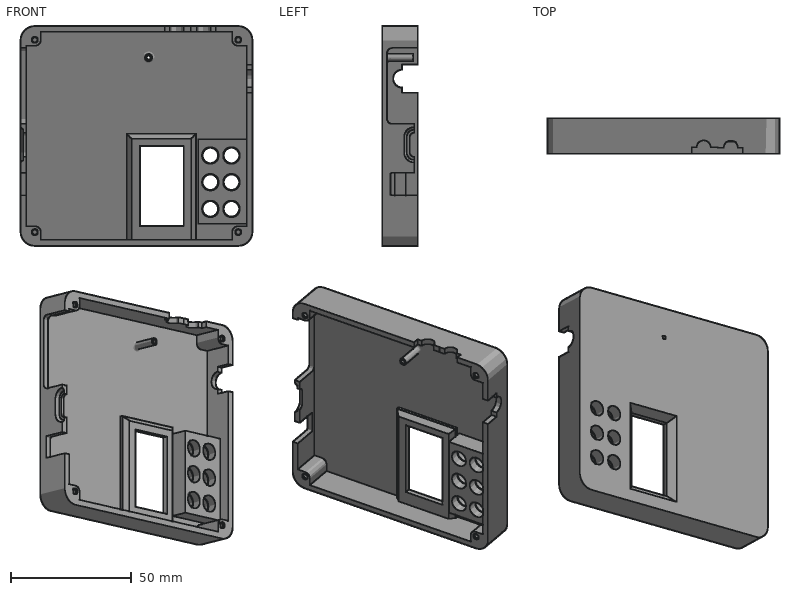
import cadquery as cq
import math


WIDTH = 96.0
DEPTH = 14.8
HEIGHT = 91.0
CORNER_RADIUS = 6.0
WALL = 2.5
FLOOR = 2.0
FLOOR_Y = DEPTH - FLOOR

BOSS_WIDTH = 8.4
BOSS_HEIGHT = 8.2
BOSS_RADIUS = 2.4
SCREW_X = 6.0
SCREW_Z = 5.8
SCREW_DIAMETER = 2.1
SCREW_DEPTH = 9.6
SCREW_MOUTH_DIAMETER = 2.6
SCREW_MOUTH_DEPTH = 0.8

STANDOFF_X = 53.0
STANDOFF_Z = 78.0
STANDOFF_Y = 1.9
STANDOFF_DIAMETER = 3.0
STANDOFF_FOOT_RADIUS = 1.0
STANDOFF_HOLE_DIAMETER = 1.6

FRAME_LEFT = 43.9
FRAME_WIDTH = 28.8
FRAME_TOP = 46.5
FRAME_Y = DEPTH - 5.3
FRAME_BEVEL = 2.0
FRAME_LEDGE = 0.1
WINDOW_LEFT = 49.5
WINDOW_BOTTOM = 8.4
WINDOW_WIDTH = 18.0
WINDOW_HEIGHT = 32.9
WINDOW_LAND = 2.4

KEYPAD_LEFT = 73.6
KEYPAD_BOTTOM = 9.1
KEYPAD_TOP = 44.1
KEYPAD_Y = DEPTH - 9.8
KEY_COLUMNS = 2
KEY_ROWS = 3
KEY_FIRST_X = 78.5
KEY_FIRST_Z = 15.4
KEY_PITCH_X = 8.7
KEY_PITCH_Z = 11.0
KEY_DIAMETER = 6.3
KEY_MOUTH_DIAMETER = 6.9
KEY_MOUTH_DEPTH = 4.0

SIDE_NOTCH_Z = 69.2
SIDE_NOTCH_WIDTH = 11.5
SIDE_NOTCH_DEPTH = 6.5
SIDE_NOTCH_RADIUS = 3.6

TOP_NOTCH_LEFT = 59.7
TOP_NOTCH_MIDDLE = 70.5
TOP_NOTCH_RIGHT = 80.8
TOP_NOTCH_RADIUS = 2.9
LEFT_CABLE_X = 64.6
LEFT_CABLE_Y = 2.7
RIGHT_CABLE_X = 75.8
RIGHT_CABLE_Y = 2.6

LEFT_RIM_Y = 1.5
UPPER_OPENING_BOTTOM = 50.5
UPPER_OPENING_TOP = 81.9
UPPER_OPENING_Y = DEPTH - 2.1
UPPER_OPENING_RADIUS = 2.0
LOWER_OPENING_BOTTOM = 20.9
LOWER_OPENING_TOP = 30.2
LOWER_OPENING_Y = DEPTH - 3.6
LOWER_OPENING_RADIUS = 0.6

SOCKET_Z = 41.9
SOCKET_HALF_STRAIGHT = 3.2
SOCKET_HOLE_RADIUS = 1.8
SOCKET_SEAT_RADIUS = 3.1
SOCKET_BEVEL_WIDTH = 1.1
SOCKET_SEAT_DEPTH = 1.2


def block(x_min, x_max, y_min, y_max, z_min, z_max):
    size = (x_max - x_min, y_max - y_min, z_max - z_min)
    return cq.Workplane("XY").box(*size, centered=False).translate((x_min, y_min, z_min))


def pin(x, z, diameter, y_min, y_max):
    """Cylinder along Y."""
    profile = cq.Workplane("XZ", origin=(0, y_min, 0)).center(x, z).circle(diameter / 2)
    return profile.extrude(y_min - y_max)


def case_shell():
    outer = block(0, WIDTH, 0, DEPTH, 0, HEIGHT).edges("|Y").fillet(CORNER_RADIUS)
    cavity = block(WALL, WIDTH - WALL, 0, FLOOR_Y, WALL, HEIGHT - WALL)
    post = block(0, BOSS_WIDTH, 0, FLOOR_Y, 0, BOSS_HEIGHT)
    post = post.edges("|Y and >X and >Z").fillet(BOSS_RADIUS)
    center = (WIDTH / 2, 0, HEIGHT / 2)
    upper_post = post.mirror("XY", center)
    for left_post in (post, upper_post):
        cavity = cavity.cut(left_post).cut(left_post.mirror("YZ", center))
    return outer.cut(cavity)


def screw_holes():
    holes = cq.Workplane("XY")
    for x in (SCREW_X, WIDTH - SCREW_X):
        for z in (SCREW_Z, HEIGHT - SCREW_Z):
            holes = holes.add(pin(x, z, SCREW_DIAMETER, 0, SCREW_DEPTH))
            holes = holes.add(pin(x, z, SCREW_MOUTH_DIAMETER, 0, SCREW_MOUTH_DEPTH))
    return holes.combine()


def standoff():
    """Pin with a concave foot, revolved about its own axis."""
    radius = STANDOFF_DIAMETER / 2
    foot = STANDOFF_FOOT_RADIUS
    pin_height = FLOOR_Y - STANDOFF_Y
    arc_offset = foot * (1 - math.sqrt(0.5))
    profile = (
        cq.Workplane("XY", origin=(STANDOFF_X, STANDOFF_Y, STANDOFF_Z))
        .lineTo(radius, 0)
        .lineTo(radius, pin_height - foot)
        .threePointArc((radius + arc_offset, pin_height - arc_offset), (radius + foot, pin_height))
        .lineTo(0, pin_height)
        .close()
    )
    return profile.revolve(360, (0, 0, 0), (0, 1, 0))


def standoff_hole():
    return pin(STANDOFF_X, STANDOFF_Z, STANDOFF_HOLE_DIAMETER, STANDOFF_Y, DEPTH)


def display_frame():
    """Raised frame whose bevelled upper part stands back from its base by a narrow ledge."""
    right = FRAME_LEFT + FRAME_WIDTH
    base = block(FRAME_LEFT, right, FRAME_Y + FRAME_BEVEL, DEPTH, WALL, FRAME_TOP)
    upper_left = FRAME_LEFT + FRAME_LEDGE
    upper_right = right - FRAME_LEDGE
    upper = block(upper_left, upper_right, FRAME_Y, DEPTH, WALL, FRAME_TOP - FRAME_LEDGE)
    return base.union(upper.faces("<Y").edges("<X or >X or >Z").chamfer(FRAME_BEVEL))


def display_window():
    """Straight window through the frame, flared at 45 degrees towards the back."""
    right = WINDOW_LEFT + WINDOW_WIDTH
    top = WINDOW_BOTTOM + WINDOW_HEIGHT
    window = block(WINDOW_LEFT, right, FRAME_Y, DEPTH, WINDOW_BOTTOM, top)
    flare = DEPTH - FRAME_Y - WINDOW_LAND
    center = (WINDOW_LEFT + WINDOW_WIDTH / 2, DEPTH, WINDOW_BOTTOM + WINDOW_HEIGHT / 2)
    back_opening = cq.Workplane("XZ", origin=center)
    back_opening = back_opening.rect(WINDOW_WIDTH + 2 * flare, WINDOW_HEIGHT + 2 * flare)
    return window.union(back_opening.extrude(flare, taper=45))


def keypad():
    return block(KEYPAD_LEFT, WIDTH - WALL, KEYPAD_Y, DEPTH, KEYPAD_BOTTOM, KEYPAD_TOP)


def key_holes():
    holes = cq.Workplane("XY")
    for column in range(KEY_COLUMNS):
        for row in range(KEY_ROWS):
            x = KEY_FIRST_X + column * KEY_PITCH_X
            z = KEY_FIRST_Z + row * KEY_PITCH_Z
            holes = holes.add(pin(x, z, KEY_DIAMETER, KEYPAD_Y, DEPTH))
            holes = holes.add(pin(x, z, KEY_MOUTH_DIAMETER, KEYPAD_Y, KEYPAD_Y + KEY_MOUTH_DEPTH))
    return holes.combine()


def side_notch():
    half = SIDE_NOTCH_WIDTH / 2
    slot = block(WIDTH - WALL, WIDTH, 0, SIDE_NOTCH_DEPTH, SIDE_NOTCH_Z - half, SIDE_NOTCH_Z + half)
    seat = cq.Workplane("YZ", origin=(WIDTH - WALL, SIDE_NOTCH_DEPTH, SIDE_NOTCH_Z))
    return slot.union(seat.circle(SIDE_NOTCH_RADIUS).extrude(WALL))


def cable_notch(x_min, x_max, x_center, y_center):
    """Slot in the top wall that ends in a round seat for one cable."""
    z_min = HEIGHT - WALL
    slot = block(x_min, x_max, 0, y_center, z_min, HEIGHT)
    seat = cq.Workplane("XY", origin=(x_center, y_center, z_min))
    return slot.union(seat.circle(TOP_NOTCH_RADIUS).extrude(WALL))


def top_notch():
    left = cable_notch(TOP_NOTCH_LEFT, TOP_NOTCH_MIDDLE, LEFT_CABLE_X, LEFT_CABLE_Y)
    right = cable_notch(TOP_NOTCH_MIDDLE, TOP_NOTCH_RIGHT, RIGHT_CABLE_X, RIGHT_CABLE_Y)
    return left.union(right)


def wall_opening(z_min, z_max, y_max, radius):
    opening = block(0, WALL, 0, y_max, z_min, z_max)
    return opening.edges("|X and >Y").fillet(radius)


def left_openings():
    lowered_rim = block(0, WALL, 0, LEFT_RIM_Y, LOWER_OPENING_BOTTOM, UPPER_OPENING_TOP)
    upper = wall_opening(UPPER_OPENING_BOTTOM, UPPER_OPENING_TOP, UPPER_OPENING_Y, UPPER_OPENING_RADIUS)
    lower = wall_opening(LOWER_OPENING_BOTTOM, LOWER_OPENING_TOP, LOWER_OPENING_Y, LOWER_OPENING_RADIUS)
    return lowered_rim.union(upper).union(lower)


def socket_outline(radius):
    length = 2 * (SOCKET_HALF_STRAIGHT + radius)
    return cq.Workplane("YZ", origin=(0, LEFT_RIM_Y, SOCKET_Z)).slot2D(length, 2 * radius, 90)


def socket():
    """Slotted hole with a wider seat that flares to the outer face."""
    mouth_radius = SOCKET_SEAT_RADIUS + SOCKET_BEVEL_WIDTH
    flare_angle = math.degrees(math.atan2(SOCKET_BEVEL_WIDTH, SOCKET_SEAT_DEPTH))
    hole = socket_outline(SOCKET_HOLE_RADIUS).extrude(WALL)
    seat = socket_outline(mouth_radius).extrude(SOCKET_SEAT_DEPTH, taper=flare_angle)
    return hole.union(seat)


result = case_shell().union(standoff()).union(display_frame()).union(keypad())
for opening in (
    screw_holes(),
    standoff_hole(),
    display_window(),
    key_holes(),
    side_notch(),
    top_notch(),
    left_openings(),
    socket(),
):
    result = result.cut(opening)